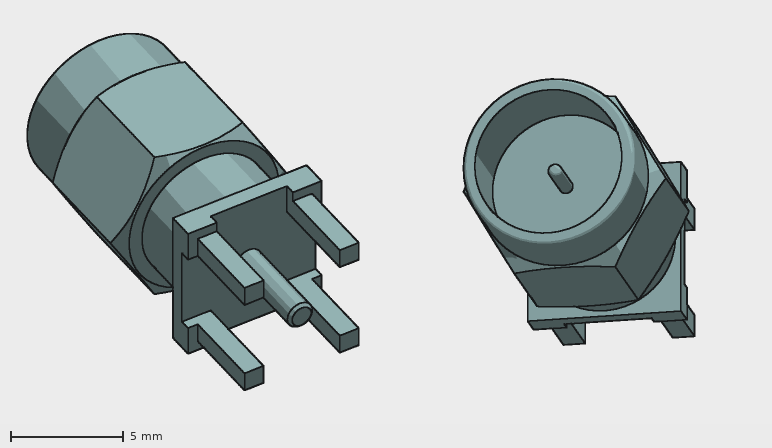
import cadquery as cq
import math

total_length = 17.2
nut_start = 3.03
nut_end = 8.88
plate_start = 11.92
plate_end = 12.7
feet_end = 13.21

sleeve_radius = 3.92
mouth_round = 0.24
bore_radius = 3.35
bore_depth = 3.78
across_flats = 8.0
chamfer_angle = 56.0

neck_radius = 3.25
plate_width = 7.0
leg_width = 1.0
leg_inner = 2.0

contact_radius = 0.31
contact_round = 0.2
contact_tip = 1.24
solder_pin_radius = 0.65
solder_pin_chamfer = 0.15


def cylinder(start, end, radius):
    """Round bar on the X axis."""
    return cq.Workplane("YZ", origin=(start, 0, 0)).circle(radius).extrude(end - start)


def square_bar(start, end, width, y=0, z=0):
    """Square bar parallel to the X axis."""
    return cq.Workplane("YZ", origin=(start, y, z)).rect(width, width).extrude(end - start)


def hex_nut():
    """Hexagon with its corners turned down conically at both ends."""
    corner_radius = across_flats / math.sqrt(3)
    nut = (
        cq.Workplane("YZ", origin=(nut_start, 0, 0))
        .polygon(6, 2 * corner_radius)
        .extrude(nut_end - nut_start)
    )
    chamfer_height = corner_radius - sleeve_radius
    chamfer_length = chamfer_height / math.tan(math.radians(chamfer_angle))
    envelope = (
        cq.Workplane("XY")
        .moveTo(nut_start, 0)
        .lineTo(nut_start, sleeve_radius)
        .lineTo(nut_start + chamfer_length, corner_radius)
        .lineTo(nut_end - chamfer_length, corner_radius)
        .lineTo(nut_end, sleeve_radius)
        .lineTo(nut_end, 0)
        .close()
        .revolve(360, (0, 0, 0), (1, 0, 0))
    )
    return nut.intersect(envelope)


def mounting_plate():
    """Square plate with a foot and a leg at each corner."""
    plate = square_bar(plate_start, plate_end, plate_width)
    foot_width = plate_width / 2 - leg_inner
    foot_center = leg_inner + foot_width / 2
    leg_center = leg_inner + leg_width / 2
    for side_y in (-1, 1):
        for side_z in (-1, 1):
            foot = square_bar(
                plate_end, feet_end, foot_width, side_y * foot_center, side_z * foot_center
            )
            leg = square_bar(
                feet_end, total_length, leg_width, side_y * leg_center, side_z * leg_center
            )
            plate = plate.union(foot).union(leg)
    return plate


sleeve = cylinder(0, nut_end, sleeve_radius).faces("<X").edges().fillet(mouth_round)
bore = cylinder(0, bore_depth, bore_radius)
neck = cylinder(nut_end, plate_start, neck_radius)
contact = cylinder(contact_tip, bore_depth, contact_radius).faces("<X").edges().fillet(contact_round)
solder_pin = (
    cylinder(plate_end, total_length, solder_pin_radius)
    .faces(">X")
    .edges()
    .chamfer(solder_pin_chamfer)
)

result = (
    sleeve.union(hex_nut())
    .cut(bore)
    .union(neck)
    .union(mounting_plate())
    .union(contact)
    .union(solder_pin)
)